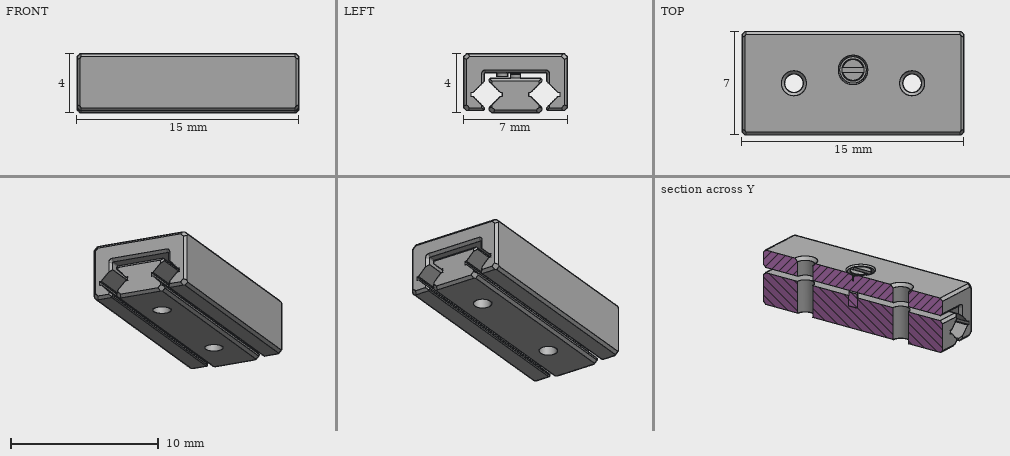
import cadquery as cq
import math

length = 15.0
housing_width = 7.0
total_height = 4.0
edge_chamfer = 0.2
corner_waste = 6 * edge_chamfer

housing_bottom = 0.15
housing_height = total_height - housing_bottom
channel_width = 4.2
channel_ceiling = 2.7
channel_fillet = 0.06
lip_chamfer = 0.08

rail_width = 3.6
rail_height = 2.35
rail_top_chamfer = 0.1

groove_z = 1.25
housing_groove_apex = 3.0
rail_groove_apex = 0.9
relief_height = 0.25

mount_spacing = 8.0
mount_diameter = 1.25
mount_chamfer = 0.22
mount_points = [(-mount_spacing / 2, 0), (mount_spacing / 2, 0)]

screw_y = 0.9
screw_recess_diameter = 1.8
screw_recess_depth = 0.5
recess_floor = total_height - screw_recess_depth
screw_recess_chamfer = 0.1
head_diameter = 1.5
head_sink = 0.05
head_top = total_height - head_sink
head_chamfer = 0.05
shank_diameter = 0.75
shank_bottom = 2.45
driver_slot_width = 0.36
driver_slot_depth = 0.2

pin_diameter = 0.7
pin_top = 2.62
pin_depth = 0.75
pin_bottom = rail_height - pin_depth


def block(width, height, bottom):
    """Full-length block, centred in X and Y, standing on the given level."""
    return cq.Workplane("XY", origin=(0, 0, bottom)).box(length, width, height, centered=(True, True, False))


def cylinder(diameter, bottom, top, x=0.0, y=0.0):
    """Vertical cylinder between two levels."""
    return cq.Workplane("XY", origin=(x, y, bottom)).circle(diameter / 2).extrude(top - bottom)


def blunt_corners(body, width, levels):
    """Cut a flat, at 45 degrees to X, across the outer corners on each (corner level, outward Z sign)."""
    flat_length = math.sqrt(2) * edge_chamfer
    for level, sign_z in levels:
        for sign_x in (-1, 1):
            for sign_y in (-1, 1):
                on_flat = (
                    sign_x * (length / 2 - flat_length),
                    sign_y * (width - edge_chamfer) / 2,
                    level - sign_z * edge_chamfer / 2,
                )
                flat = cq.Plane(origin=on_flat, normal=(sign_x * math.sqrt(2), sign_y, sign_z))
                waste = cq.Workplane(flat).rect(corner_waste, corner_waste).extrude(corner_waste)
                body = body.cut(waste)
    return body


def countersink(diameter, chamfer, x, y):
    """45 degree cone that breaks the top edge of a hole in the housing."""
    return (
        cq.Workplane("XY", origin=(x, y, total_height))
        .circle(diameter / 2 + chamfer)
        .extrude(-chamfer, taper=45)
    )


def v_groove(apex_y, mouth_y):
    """Full-length groove cutter: a V from mouth to apex, with a relief slot along the apex."""
    half_mouth = abs(mouth_y - apex_y)
    vee = (
        cq.Workplane("YZ", origin=(-length / 2, 0, 0))
        .polyline([
            (apex_y, groove_z),
            (mouth_y, groove_z + half_mouth),
            (mouth_y, groove_z - half_mouth),
        ])
        .close()
        .extrude(length)
    )
    relief = (
        cq.Workplane("XY", origin=(0, (mouth_y + apex_y) / 2, groove_z))
        .box(length, half_mouth, relief_height)
    )
    return vee.union(relief)


def channel_cutter():
    """Straight channel with rounded upper corners, flared at 45 degrees at both ends."""
    channel = block(channel_width, channel_ceiling, 0).edges("|X and >Z").fillet(channel_fillet)
    mouth_profile = (
        cq.Sketch()
        .rect(channel_width + 2 * edge_chamfer, 2 * (channel_ceiling + edge_chamfer))
        .vertices()
        .fillet(channel_fillet + edge_chamfer)
    )
    mouth = (
        cq.Workplane("YZ", origin=(-length / 2, 0, 0))
        .placeSketch(mouth_profile)
        .extrude(edge_chamfer, taper=45)
    )
    return channel.union(mouth).union(mouth.mirror("YZ"))


def lip_corner(side):
    """Triangular prism that breaks the lower edge of one channel lip."""
    lip_y = side * channel_width / 2
    return (
        cq.Workplane("YZ", origin=(-length / 2, 0, 0))
        .polyline([
            (lip_y, housing_bottom),
            (lip_y + side * lip_chamfer, housing_bottom),
            (lip_y, housing_bottom + lip_chamfer),
        ])
        .close()
        .extrude(length)
    )


def make_housing():
    """Channel-shaped carriage with roller grooves, mounting holes and a stop screw recess."""
    body = block(housing_width, housing_height, housing_bottom).edges().chamfer(edge_chamfer)
    body = blunt_corners(body, housing_width, [(housing_bottom, -1), (total_height, 1)])

    body = body.cut(channel_cutter())
    for side in (-1, 1):
        body = body.cut(lip_corner(side))

    for side in (-1, 1):
        body = body.cut(v_groove(side * housing_groove_apex, side * channel_width / 2))

    for x, y in mount_points:
        body = body.cut(cylinder(mount_diameter, 0, total_height, x, y))
        body = body.cut(countersink(mount_diameter, mount_chamfer, x, y))

    recess = cylinder(screw_recess_diameter, recess_floor, total_height, y=screw_y)
    rim = countersink(screw_recess_diameter, screw_recess_chamfer, 0, screw_y)
    shank_hole = cylinder(shank_diameter, shank_bottom, total_height, y=screw_y)
    return body.cut(recess).cut(rim).cut(shank_hole)


def make_rail():
    """Inner rail with roller grooves in its flanks, mounting holes and a stop pin hole."""
    bar = block(rail_width, rail_height, 0).edges("|X and <Z").chamfer(edge_chamfer)
    bar = bar.edges("|X and >Z").chamfer(rail_top_chamfer)
    body = bar.intersect(block(rail_width, rail_height, 0).faces("<X or >X").edges().chamfer(edge_chamfer))
    body = blunt_corners(body, rail_width, [(0, -1)])

    for side in (-1, 1):
        body = body.cut(v_groove(side * rail_groove_apex, side * rail_width / 2))

    for x, y in mount_points:
        body = body.cut(cylinder(mount_diameter, 0, rail_height, x, y))
    return body.cut(cylinder(pin_diameter, pin_bottom, rail_height))


def make_stop_screw():
    """Slotted screw whose shank reaches below the channel ceiling."""
    shank = cylinder(shank_diameter, shank_bottom, head_top, y=screw_y)
    head = cylinder(head_diameter, recess_floor, head_top, y=screw_y).faces(">Z").chamfer(head_chamfer)
    driver_slot = cq.Workplane("XY", origin=(0, screw_y, head_top)).box(
        head_diameter, driver_slot_width, 2 * driver_slot_depth
    )
    return shank.union(head).cut(driver_slot)


def make_stop_pin():
    """Plain pin that stands proud of the rail."""
    return cylinder(pin_diameter, pin_bottom, pin_top)


housing = make_housing()
rail = make_rail()
stop_screw = make_stop_screw()
stop_pin = make_stop_pin()

result = cq.Compound.makeCompound([housing.val(), rail.val(), stop_screw.val(), stop_pin.val()])